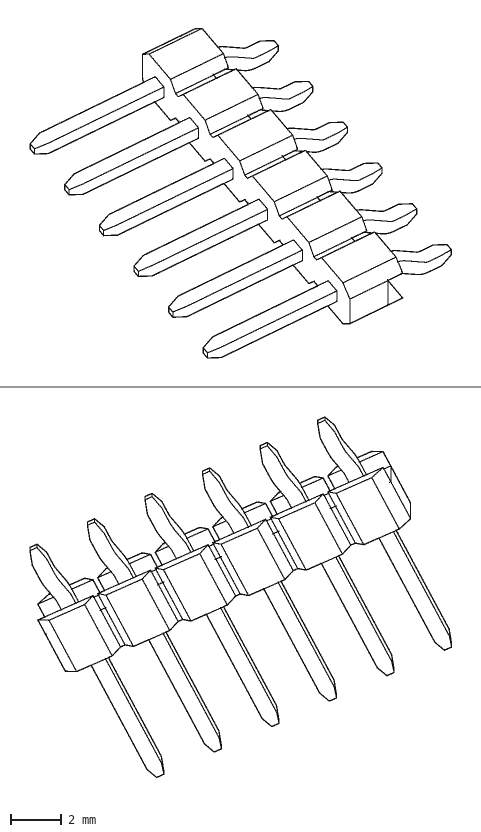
import cadquery as cq
import math

pin_count = 6
pitch = 2.54
row_length = pin_count * pitch
body_depth = 2.5
body_height = 2.5
edge_cut = 0.5
notch_slope_width = 0.37
notch_floor_width = 0.2
channel_depth = 0.7
channel_height = body_height - 2 * edge_cut

pin_size = 0.64
pin_z = body_height / 2
tail_z = pin_size / 2
front_reach = 6.0
back_reach = 3.0
tip_length = 0.55
tip_size = pin_size / 2
tail_flat_length = 0.6
bend_radius = pin_size
bend_angle = math.radians(36)

body_front_y = -body_depth / 2
body_back_y = body_depth / 2


def make_block_row():
    """Bar along X with its four end edges along Y chamfered."""
    bar = cq.Workplane("XY").box(row_length, body_depth, body_height)
    bar = bar.edges("|Y").chamfer(edge_cut)
    return bar.translate((0, 0, body_height / 2))


def make_notch_pair(x):
    """Trapezoidal notches in the top and bottom, between two neighbouring blocks."""
    half_floor = notch_floor_width / 2
    half_mouth = half_floor + notch_slope_width
    top_floor_z = body_height - edge_cut
    lower = [(x - half_mouth, 0), (x - half_floor, edge_cut), (x + half_floor, edge_cut), (x + half_mouth, 0)]
    upper = [
        (x - half_mouth, body_height),
        (x - half_floor, top_floor_z),
        (x + half_floor, top_floor_z),
        (x + half_mouth, body_height),
    ]
    outlines = cq.Workplane("XZ", origin=(0, body_back_y, 0)).polyline(lower).close().polyline(upper).close()
    return outlines.extrude(body_depth)


def make_housing():
    housing = make_block_row()
    for gap in range(1, pin_count):
        housing = housing.cut(make_notch_pair(gap * pitch - row_length / 2))
    channel = cq.Workplane("XY").box(row_length, channel_depth, channel_height)
    channel_y = body_back_y - channel_depth / 2
    return housing.cut(channel.translate((0, channel_y, body_height / 2)))


def make_tip(y, z, direction):
    """Tapered end starting at y and pointing along +Y (direction 1) or -Y (direction -1)."""
    base = cq.Plane(origin=(0, y, z), xDir=(1, 0, 0), normal=(0, direction, 0))
    section = cq.Workplane(base).rect(pin_size, pin_size).workplane(offset=tip_length)
    return section.rect(tip_size, tip_size).loft(ruled=True)


def make_pin():
    """One pin at x = 0: square wire swept along its centreline, with both tips."""
    front_y = body_front_y - front_reach + tip_length
    tail_y = body_back_y + back_reach - tip_length
    bend_run = bend_radius * math.sin(bend_angle)
    bend_drop = bend_radius * (1 - math.cos(bend_angle))
    ramp_drop = pin_z - tail_z - 2 * bend_drop
    ramp_run = ramp_drop / math.tan(bend_angle)
    lower_bend_y = tail_y - tail_flat_length
    ramp_low_y = lower_bend_y - bend_run
    ramp_high_y = ramp_low_y - ramp_run
    upper_bend_y = ramp_high_y - bend_run

    centreline = (
        cq.Workplane("YZ")
        .moveTo(front_y, pin_z)
        .lineTo(upper_bend_y, pin_z)
        .tangentArcPoint((ramp_high_y, pin_z - bend_drop), relative=False)
        .lineTo(ramp_low_y, tail_z + bend_drop)
        .tangentArcPoint((lower_bend_y, tail_z), relative=False)
        .lineTo(tail_y, tail_z)
    )
    section = cq.Workplane("XZ", origin=(0, front_y, pin_z)).rect(pin_size, pin_size)
    wire = section.sweep(centreline)
    return wire.union(make_tip(front_y, pin_z, -1)).union(make_tip(tail_y, tail_z, 1))


result = make_housing()
pin = make_pin()
for index in range(pin_count):
    pin_x = (index + 0.5) * pitch - row_length / 2
    result = result.union(pin.translate((pin_x, 0, 0)))